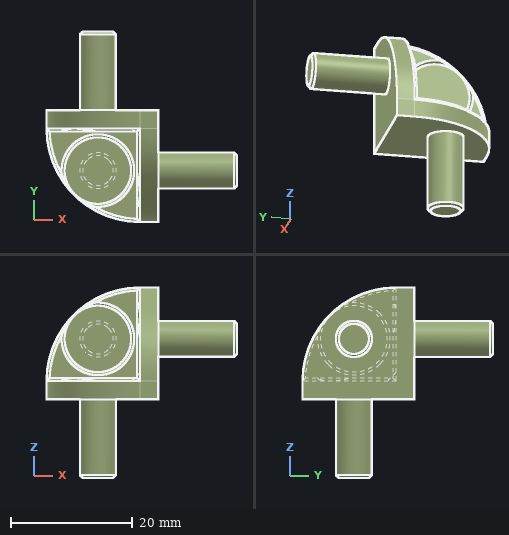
import cadquery as cq

overall_size = 31.5
wall_thickness = 3.0
wall_radius = 15.5
bevel = 0.5
stud_diameter = 6.0
stud_offset = 7.0
recess_diameter = 12.0

stud_length = overall_size - wall_radius - wall_thickness
recess_radius = recess_diameter / 2

corner_diagonal = (-1, -1, 1)
wall_angles = (0, 120, 240)


def floor_wall():
    """Floor slab with a quarter-round rim, bevelled inner layer and stud."""
    slab = (
        cq.Workplane("XY", origin=(0, 0, -wall_thickness))
        .moveTo(wall_thickness, wall_thickness)
        .lineTo(-wall_radius, wall_thickness)
        .lineTo(-wall_radius, 0)
        .radiusArc((0, -wall_radius), -wall_radius)
        .lineTo(wall_thickness, -wall_radius)
        .close()
        .extrude(wall_thickness)
    )
    quarter_cone = cq.Solid.makeCone(wall_radius, wall_radius - bevel, bevel, angleDegrees=90)
    bevelled_layer = cq.Workplane(quarter_cone).rotate((0, 0, 0), (0, 0, 1), 180)
    stud = (
        cq.Workplane("XY", origin=(-stud_offset, -stud_offset, -wall_thickness))
        .circle(stud_diameter / 2)
        .extrude(-stud_length)
        .faces("<Z")
        .chamfer(bevel)
    )
    return slab.union(bevelled_layer).union(stud)


def floor_recess():
    """Shallow conical recess sunk through the bevelled layer above the stud."""
    cone = cq.Solid.makeCone(recess_radius - bevel, recess_radius, bevel)
    return cq.Workplane(cone).translate((-stud_offset, -stud_offset, 0))


def turned(body, angle):
    """Turn a floor feature onto another wall."""
    return body.rotate((0, 0, 0), corner_diagonal, angle)


result = floor_wall()
for angle in wall_angles[1:]:
    result = result.union(turned(floor_wall(), angle))
for angle in wall_angles:
    result = result.cut(turned(floor_recess(), angle))